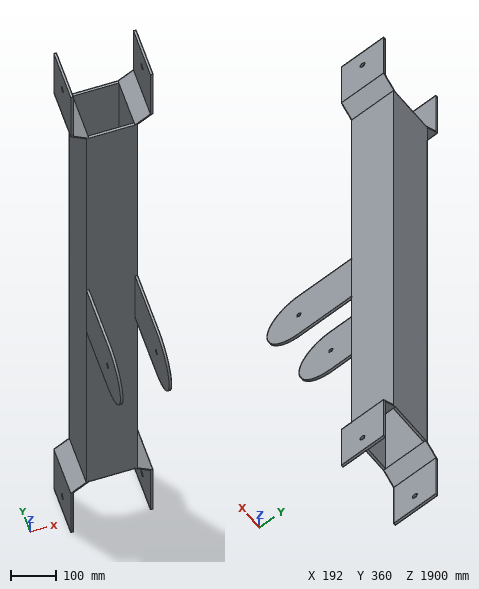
import cadquery as cq

total_height = 1900.0
total_width = 192.0
total_depth = 360.0
tube_side = 120.0
plate = 6.0
flange_length = 171.0
bend_height = 28.0
flange_hole = 13.0
flange_hole_inset = 60.0
lug_width = 180.0
lug_hole = 11.0

half_height = total_height / 2
half_tube = tube_side / 2
half_width = total_width / 2
bend_end = half_height - flange_length
tube_end = bend_end - bend_height
lug_radius = lug_width / 2
lug_tip = half_tube - total_depth
lug_centre = lug_tip + lug_radius


def make_flange():
    """Upper +X flange: slopes outward from the tube wall, then runs straight up."""
    flange = (
        cq.Workplane("XZ")
        .moveTo(half_tube - plate, tube_end)
        .lineTo(half_tube, tube_end)
        .lineTo(half_width, bend_end)
        .lineTo(half_width, half_height)
        .lineTo(half_width - plate, half_height)
        .lineTo(half_width - plate, bend_end)
        .close()
        .extrude(half_tube, both=True)
    )
    hole = (
        cq.Workplane("YZ", origin=(half_width - plate, 0, half_height - flange_hole_inset))
        .circle(flange_hole / 2)
        .extrude(plate)
    )
    return flange.cut(hole)


def make_post():
    """Square tube with a pair of joggled flanges at each end."""
    inner_side = tube_side - 2 * plate
    post = (
        cq.Workplane("XY", origin=(0, 0, -tube_end))
        .rect(tube_side, tube_side)
        .rect(inner_side, inner_side)
        .extrude(2 * tube_end)
    )
    right_flange = make_flange()
    left_flange = right_flange.mirror("YZ")
    for flange in (right_flange, left_flange):
        post = post.union(flange)
        post = post.union(flange.mirror("XY"))
    return post


def make_lug(start_x):
    """Round-ended lug on the -Y face of the tube, one plate thick from start_x."""
    return (
        cq.Workplane("YZ", origin=(start_x, 0, 0))
        .moveTo(-half_tube, -lug_radius)
        .lineTo(lug_centre, -lug_radius)
        .threePointArc((lug_tip, 0), (lug_centre, lug_radius))
        .lineTo(-half_tube, lug_radius)
        .close()
        .moveTo(lug_centre, 0)
        .circle(lug_hole / 2)
        .extrude(plate)
    )


post = make_post()
lugs = [make_lug(start_x) for start_x in (-half_tube, half_tube - plate)]

result = cq.Compound.makeCompound([post.val(), *[lug.val() for lug in lugs]])